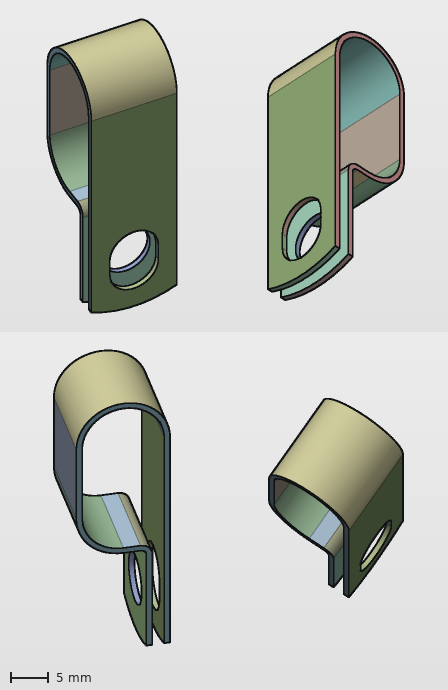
import cadquery as cq

height = 40.4
loop_width = 12.73
strip_width = 12.7
thickness = 0.8

straight_side = 11.1
leg_gap = 1.6
bend_inner_radius = 0.8
hole_diameter = 7.2
hole_height = 7.88
slot_travel = 2.42
end_rise = 1.3

loop_radius = loop_width / 2
inner_radius = loop_radius - thickness
bend_outer_radius = bend_inner_radius + thickness
upper_center_z = height - loop_radius
lower_center_z = upper_center_z - straight_side
loop_bottom_z = lower_center_z - loop_radius
long_leg_inner_x = loop_radius - thickness
short_leg_outer_x = long_leg_inner_x - leg_gap
gap_middle_x = long_leg_inner_x - leg_gap / 2
short_leg_inner_x = short_leg_outer_x - thickness
bend_x = short_leg_inner_x - bend_inner_radius
bend_z = loop_bottom_z - bend_inner_radius


def bent_strip():
    """Side profile of the strip, extruded evenly about the XZ plane."""
    return (
        cq.Workplane("XZ")
        .moveTo(loop_radius, 0)
        .lineTo(loop_radius, upper_center_z)
        .threePointArc((0, height), (-loop_radius, upper_center_z))
        .lineTo(-loop_radius, lower_center_z)
        .radiusArc((0, loop_bottom_z), -loop_radius)
        .lineTo(bend_x, loop_bottom_z)
        .radiusArc((short_leg_inner_x, bend_z), bend_inner_radius)
        .lineTo(short_leg_inner_x, 0)
        .lineTo(short_leg_outer_x, 0)
        .lineTo(short_leg_outer_x, bend_z)
        .radiusArc((bend_x, bend_z + bend_outer_radius), -bend_outer_radius)
        .lineTo(0, lower_center_z - inner_radius)
        .radiusArc((-inner_radius, lower_center_z), inner_radius)
        .lineTo(-inner_radius, upper_center_z)
        .threePointArc((0, upper_center_z + inner_radius), (long_leg_inner_x, upper_center_z))
        .lineTo(long_leg_inner_x, 0)
        .close()
        .extrude(strip_width / 2, both=True)
    )


def rounded_end_envelope():
    """Front outline of the strip with its arched lower end."""
    half_width = strip_width / 2
    return (
        cq.Workplane("YZ")
        .moveTo(-half_width, height)
        .lineTo(-half_width, end_rise)
        .threePointArc((0, 0), (half_width, end_rise))
        .lineTo(half_width, height)
        .close()
        .extrude(loop_width, both=True)
    )


def screw_hole():
    """Round hole through the short leg only."""
    return (
        cq.Workplane("YZ", origin=(gap_middle_x, 0, hole_height))
        .circle(hole_diameter / 2)
        .extrude(-loop_width)
    )


def adjustment_slot():
    """Upright slot through the long leg, centred on the screw hole."""
    return (
        cq.Workplane("YZ", origin=(gap_middle_x, 0, hole_height))
        .slot2D(hole_diameter + slot_travel, hole_diameter, 90)
        .extrude(loop_width)
    )


result = (
    bent_strip()
    .intersect(rounded_end_envelope())
    .cut(screw_hole())
    .cut(adjustment_slot())
)